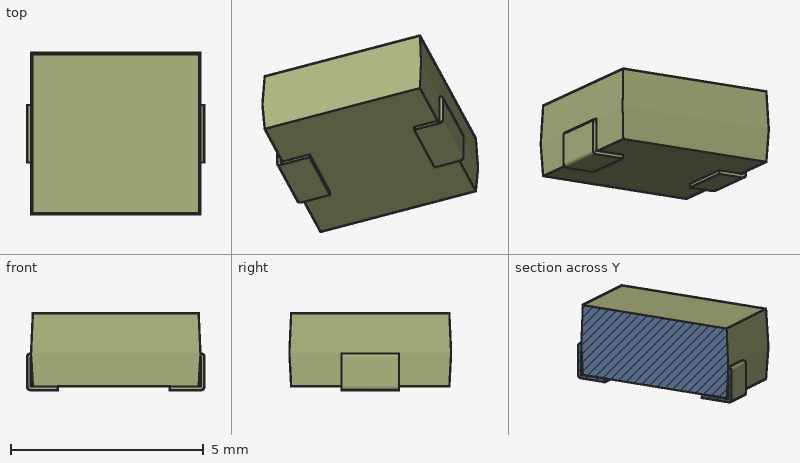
import cadquery as cq

overall_length = 4.6
overall_height = 2.0

strip_thickness = 0.1
strip_width = 1.5
left_foot_length = 0.8
right_foot_length = 0.9
bend_radius = strip_thickness

body_length = overall_length - 2 * strip_thickness
body_width = 4.2
wall_taper = 0.045
body_bottom = strip_thickness
band_bottom = 0.955
band_height = 0.02
band_top = band_bottom + band_height
terminal_top = band_bottom


def tapered_half(start_height, end_height):
    """Frustum from the full body outline at start_height to the tapered one at end_height."""
    return (
        cq.Workplane("XY")
        .workplane(offset=start_height)
        .rect(body_length, body_width)
        .workplane(offset=end_height - start_height)
        .rect(body_length - 2 * wall_taper, body_width - 2 * wall_taper)
        .loft(ruled=True, combine=True)
    )


def make_body():
    band = (
        cq.Workplane("XY")
        .workplane(offset=band_bottom)
        .rect(body_length, body_width)
        .extrude(band_height)
    )
    lower_half = tapered_half(band_bottom, body_bottom)
    upper_half = tapered_half(band_top, overall_height)
    return band.union(lower_half).union(upper_half).solids()


def make_terminal(body, foot_length):
    """C-shaped strip on the -X end, its top leg trimmed to end on the tapered body wall."""
    outer_x = -overall_length / 2
    inner_x = outer_x + strip_thickness
    leg_end_x = inner_x + wall_taper
    strip = (
        cq.Workplane("XZ")
        .moveTo(outer_x + foot_length, 0)
        .lineTo(outer_x + bend_radius, 0)
        .radiusArc((outer_x, bend_radius), bend_radius)
        .lineTo(outer_x, terminal_top - bend_radius)
        .radiusArc((outer_x + bend_radius, terminal_top), bend_radius)
        .lineTo(leg_end_x, terminal_top)
        .lineTo(leg_end_x, terminal_top - strip_thickness)
        .lineTo(inner_x, terminal_top - strip_thickness)
        .lineTo(inner_x, strip_thickness)
        .lineTo(outer_x + foot_length, strip_thickness)
        .close()
        .extrude(strip_width / 2, both=True)
    )
    return strip.cut(body).solids()


body = make_body()

terminals = []
for turn, foot_length in ((0, left_foot_length), (180, right_foot_length)):
    terminal = make_terminal(body, foot_length).rotate((0, 0, 0), (0, 0, 1), turn)
    terminals.append(terminal.val())

result = cq.Compound.makeCompound([body.val(), *terminals])